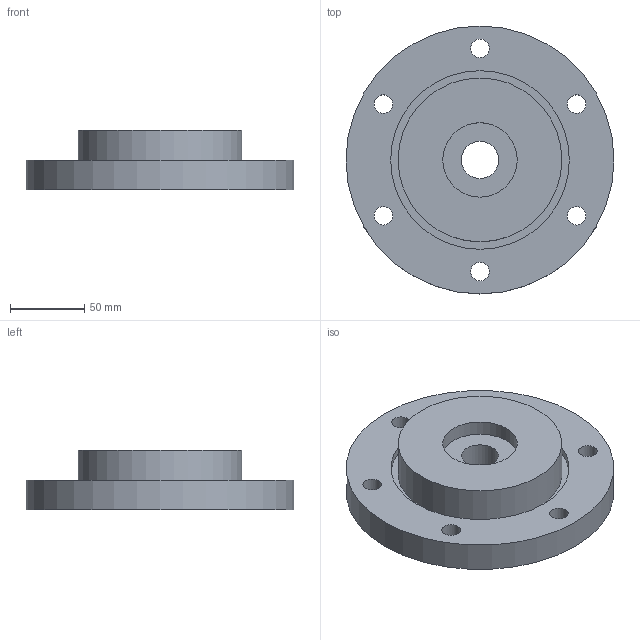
import cadquery as cq

FLANGE_DIAMETER = 180.0
FLANGE_THICKNESS = 20.0
BOSS_DIAMETER = 110.0
TOTAL_HEIGHT = 40.0

GROOVE_WIDTH = 5.0
GROOVE_DEPTH = 5.0

BORE_DIAMETER = 25.0
COUNTERBORE_DIAMETER = 50.0
COUNTERBORE_DEPTH = 10.0

BOLT_HOLE_COUNT = 6
BOLT_HOLE_DIAMETER = 12.5
BOLT_CIRCLE_DIAMETER = 150.0
FIRST_BOLT_ANGLE = 90.0


def make_flange():
    """Round base plate resting on Z = 0."""
    return cq.Workplane("XY").circle(FLANGE_DIAMETER / 2).extrude(FLANGE_THICKNESS)


def make_groove():
    """Ring of material to remove between the boss foot and the flange face."""
    inner_radius = BOSS_DIAMETER / 2
    outer_radius = inner_radius + GROOVE_WIDTH
    floor = cq.Workplane("XY").workplane(offset=FLANGE_THICKNESS - GROOVE_DEPTH)
    return floor.circle(outer_radius).circle(inner_radius).extrude(GROOVE_DEPTH)


def make_boss():
    """Solid cylinder from the flange underside to the full height."""
    return cq.Workplane("XY").circle(BOSS_DIAMETER / 2).extrude(TOTAL_HEIGHT)


def cut_bore(body):
    """Counterbored hole down the axis of the part."""
    return (
        body.faces(">Z")
        .workplane(origin=(0, 0, TOTAL_HEIGHT))
        .cboreHole(BORE_DIAMETER, COUNTERBORE_DIAMETER, COUNTERBORE_DEPTH)
    )


def make_bolt_holes():
    """Evenly spaced cylinders to remove from the flange."""
    return (
        cq.Workplane("XY")
        .polarArray(BOLT_CIRCLE_DIAMETER / 2, FIRST_BOLT_ANGLE, 360, BOLT_HOLE_COUNT)
        .circle(BOLT_HOLE_DIAMETER / 2)
        .extrude(FLANGE_THICKNESS)
    )


body = make_flange().union(make_boss())
body = body.cut(make_groove())
body = cut_bore(body)
result = body.cut(make_bolt_holes())